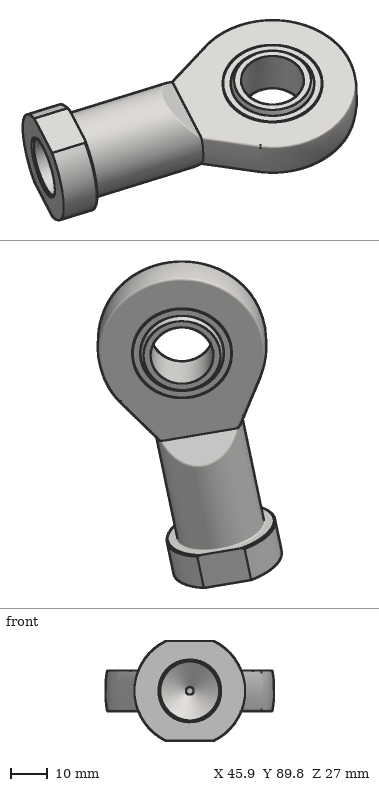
import cadquery as cq
import math

total_length = 89.8
eye_radius = 22.95
eye_thickness = 11.1
crown_sag = 0.5
neck_start = -11.3
neck_end = -25.0
outline_fillet = 0.6

shank_diameter = 24.0
slope_angle = 45.0
shank_root_fillet = 0.4

collar_diameter = 30.0
collar_width_over_flats = 27.0
collar_length = 10.0
collar_chamfer = 0.4

socket_diameter = 16.0
socket_mouth_diameter = 17.0
socket_depth = 33.0
socket_tip_diameter = 2.1
socket_tip_angle = 118.0

race_diameter = 27.0
race_chamfer = 0.2
ball_diameter = 25.0
ball_height = 13.8
bore_diameter = 17.0

eye_half = eye_thickness / 2
shank_radius = shank_diameter / 2
collar_radius = collar_diameter / 2
ball_radius = ball_diameter / 2
socket_radius = socket_diameter / 2
shank_face_half_width = math.sqrt(shank_radius**2 - eye_half**2)
slope_run = (shank_radius - eye_half) / math.tan(math.radians(slope_angle))
shank_end = eye_radius - total_length
collar_top = shank_end + collar_length


def make_eye():
    """Round eye with a crowned rim, cut off square where its rim turns to the slant of the neck."""
    half_section = (
        cq.Workplane("XZ")
        .moveTo(0, -eye_half)
        .lineTo(eye_radius - crown_sag, -eye_half)
        .threePointArc((eye_radius, 0), (eye_radius - crown_sag, eye_half))
        .lineTo(0, eye_half)
        .close()
    )
    eye = half_section.revolve(360, (0, 0, 0), (0, 1, 0))
    keep = (
        cq.Workplane("XY")
        .box(2 * eye_radius, eye_radius - neck_start, eye_thickness)
        .translate((0, (eye_radius + neck_start) / 2, 0))
    )
    return eye.intersect(keep)


def make_eye_and_neck():
    """Eye with a neck that blends from the crowned rim to the round side of the shank."""
    eye = make_eye()
    neck_start_wire = eye.faces("<Y").wires().val()
    neck_end_wire = (
        cq.Workplane("XZ", origin=(0, neck_end, 0))
        .moveTo(shank_face_half_width, -eye_half)
        .threePointArc((shank_radius, 0), (shank_face_half_width, eye_half))
        .lineTo(-shank_face_half_width, eye_half)
        .threePointArc((-shank_radius, 0), (-shank_face_half_width, -eye_half))
        .close()
        .val()
    )
    neck = cq.Workplane(cq.Solid.makeLoft([neck_start_wire, neck_end_wire], True))
    return eye.union(neck).faces("|Z").edges("not <Y").fillet(outline_fillet)


def make_shank():
    """Cylinder sloped off above and below down to the thickness of the eye."""
    shank_length = neck_end - shank_end
    cylinder = cq.Workplane("XZ", origin=(0, neck_end, 0)).circle(shank_radius).extrude(shank_length)
    slope_end = neck_end - slope_run
    side_profile = (
        cq.Workplane("YZ")
        .polyline([
            (neck_end, -eye_half),
            (neck_end, eye_half),
            (slope_end, shank_radius),
            (shank_end, shank_radius),
            (shank_end, -shank_radius),
            (slope_end, -shank_radius),
        ])
        .close()
        .extrude(shank_radius, both=True)
    )
    shank = cylinder.intersect(side_profile)
    return shank.edges("%ELLIPSE").fillet(outline_fillet)


def make_collar():
    """Round collar with two flats, chamfered towards the shank."""
    collar = (
        cq.Workplane("XZ", origin=(0, collar_top, 0))
        .circle(collar_radius)
        .extrude(collar_length)
        .faces(">Y")
        .chamfer(collar_chamfer)
    )
    flats = cq.Workplane("XY", origin=(0, collar_top - collar_length / 2, 0)).box(
        collar_diameter, collar_length, collar_width_over_flats
    )
    return collar.intersect(flats)


def make_socket():
    """Blind hole with a chamfered mouth and a blunt drill-point end."""
    mouth_radius = socket_mouth_diameter / 2
    tip_radius = socket_tip_diameter / 2
    mouth_depth = mouth_radius - socket_radius
    tip_length = (socket_radius - tip_radius) / math.tan(math.radians(socket_tip_angle / 2))
    return (
        cq.Workplane("XY")
        .polyline([
            (0, shank_end),
            (mouth_radius, shank_end),
            (socket_radius, shank_end + mouth_depth),
            (socket_radius, shank_end + socket_depth),
            (tip_radius, shank_end + socket_depth + tip_length),
            (0, shank_end + socket_depth + tip_length),
        ])
        .close()
        .revolve(360, (0, 0, 0), (0, 1, 0))
    )


def make_housing():
    """Eye, neck, shank and collar in one piece, with the race hole and the socket."""
    shank_and_collar = make_shank().union(make_collar())
    shank_root = cq.selectors.NearestToPointSelector((0, collar_top, 0))
    shank_and_collar = shank_and_collar.edges(shank_root).fillet(shank_root_fillet)
    race_hole = cq.Workplane("XY").circle(race_diameter / 2).extrude(eye_half, both=True)
    return make_eye_and_neck().union(shank_and_collar).cut(race_hole).cut(make_socket())


def make_ball():
    """Ball with flat ends and a through bore."""
    end_trim = cq.Workplane("XY").box(ball_diameter, ball_diameter, ball_height)
    bore = cq.Workplane("XY").circle(bore_diameter / 2).extrude(ball_height, both=True)
    return cq.Workplane("XY").sphere(ball_radius).intersect(end_trim).cut(bore)


def make_race():
    """Ring between the housing and the ball, hollowed to fit the ball and chamfered at its edges."""
    ring = cq.Workplane("XY").circle(race_diameter / 2).extrude(eye_half, both=True)
    race = ring.cut(cq.Workplane("XY").sphere(ball_radius))
    return race.faces("|Z").edges().chamfer(race_chamfer)


housing = make_housing()
race = make_race()
ball = make_ball()
result = cq.Compound.makeCompound([housing.val(), race.val(), ball.val()])